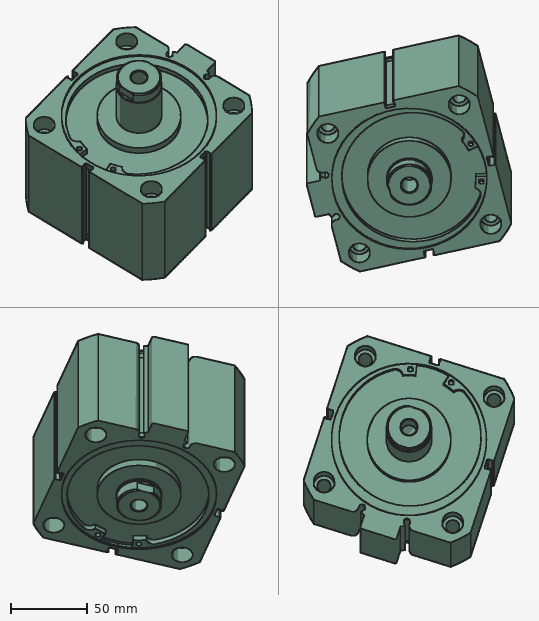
import cadquery as cq
import math

body_width = 115.0
body_height = 80.0
half_width = body_width / 2
mid_height = body_height / 2
corner_radius = 74.4

bore_radius = 50.8
groove_radius = 52.6
groove_depth = 1.4
ring_thickness = 4.0
cover_seat = groove_depth + ring_thickness

hole_offset = 44.3
hole_radius = 4.4
counterbore_radius = 6.9
counterbore_depth = 13.0

slot_depth = 4.5
slot_half_width = 3.2
lip_half_gap = 2.5
lip_chamfer_depth = 0.5
lip_depth = 0.9
slot_corner_chamfer = 0.5

rail_height = 9.0
rail_half_width = 12.5
rail_edge_radius = 1.0
barb_half_width = 15.2
barb_top = 0.3
barb_depth = 1.5
undercut_radius = 2.1
undercut_offset = 15.5
undercut_depth = 4.7
undercut_throat = 4.0
undercut_edge_radius = 3.9

ring_inner_radius = 46.5
ring_inner_shift = 2.3
ear_inner_radius = 43.7
ear_end_angle = 12.7
ear_back_angle = 23.7
ear_root_radius = 47.7
ear_root_angle = 26.9
ear_blend_angle = 30.0
ear_hole_radius = 1.7
ear_hole_distance = 47.3
ear_hole_angle = 17.3
ring_turn = -0.7

cover_thickness = 19.5
collar_radius = 27.4

rod_radius = 15.0
rod_reach_below = 10.0
rod_reach_above = 40.0
tip_radius = 14.7
tip_length = 8.3
tip_chamfer = 0.9
flat_half_distance = 13.5
flat_length = 6.9
tapped_radius = 5.2
tapped_depth = 19.5
tapped_chamfer = 0.5
drill_half_angle = math.radians(59)


def polar(radius, angle):
    """Point at a radius and at an angle in degrees, counted from -Y towards +X."""
    turn = math.radians(angle)
    return (radius * math.sin(turn), -radius * math.cos(turn))


def disc(radius, bottom, height):
    """Cylinder on the bore axis."""
    return cq.Workplane("XY").workplane(offset=bottom).circle(radius).extrude(height)


def flip(body):
    """Mirror image of a body about the middle of the body height."""
    return body.mirror("XY", (0, 0, mid_height))


def body_blank():
    """Square block whose corners follow one large circle."""
    square = cq.Workplane("XY").rect(body_width, body_width).extrude(body_height)
    return square.intersect(disc(corner_radius, 0, body_height))


def rail():
    """Plain bar that stands out from the back face."""
    return (
        cq.Workplane("XY")
        .center(0, half_width)
        .rect(2 * rail_half_width, 2 * rail_height)
        .extrude(body_height)
        .edges("|Z and >Y")
        .fillet(rail_edge_radius)
    )


def undercut():
    """Cutter for the groove on the +X side of the rail; Y is counted from the back face."""
    outer_wall = undercut_offset + undercut_radius
    throat_rise = undercut_depth - undercut_throat
    throat_x = undercut_offset - math.sqrt(undercut_radius**2 - throat_rise**2)
    round_edge = undercut_edge_radius * (1 - math.sqrt(0.5))
    return (
        cq.Workplane("XY")
        .center(0, half_width)
        .moveTo(rail_half_width, rail_height)
        .lineTo(rail_half_width, -barb_top)
        .lineTo(barb_half_width, -barb_depth)
        .lineTo(throat_x, -undercut_throat)
        .threePointArc((undercut_offset, -undercut_depth - undercut_radius), (outer_wall, -undercut_depth))
        .lineTo(outer_wall, -undercut_edge_radius)
        .threePointArc((outer_wall + round_edge, -round_edge), (outer_wall + undercut_edge_radius, 0))
        .lineTo(outer_wall + undercut_edge_radius, rail_height)
        .close()
        .extrude(body_height)
    )


def side_slot():
    """Cutter for the slot in the front face, narrowed by lips at its mouth and chamfered at its floor."""
    face = -half_width
    right_side = [
        (slot_half_width, face),
        (lip_half_gap, face + lip_chamfer_depth),
        (lip_half_gap, face + lip_depth),
        (slot_half_width, face + lip_depth),
        (slot_half_width, face + slot_depth - slot_corner_chamfer),
        (slot_half_width - slot_corner_chamfer, face + slot_depth),
    ]
    left_side = [(-x, y) for x, y in reversed(right_side)]
    return cq.Workplane("XY").polyline(right_side + left_side).close().extrude(body_height)


def corner_holes(radius, bottom, height):
    """Four cylinders at the corner mounting holes."""
    return (
        cq.Workplane("XY")
        .workplane(offset=bottom)
        .rect(2 * hole_offset, 2 * hole_offset, forConstruction=True)
        .vertices()
        .circle(radius)
        .extrude(height)
    )


def make_housing():
    """Cylinder body with bore, ring grooves, slots, mounting holes and rail."""
    housing = body_blank().union(rail())
    housing = housing.cut(undercut()).cut(undercut().mirror("YZ"))
    for angle in (-90, 0, 90):
        housing = housing.cut(side_slot().rotate((0, 0, 0), (0, 0, 1), angle))
    housing = housing.cut(disc(bore_radius, 0, body_height))
    ring_groove = disc(groove_radius, groove_depth, ring_thickness)
    housing = housing.cut(ring_groove).cut(flip(ring_groove))
    counterbores = corner_holes(counterbore_radius, 0, counterbore_depth)
    housing = housing.cut(corner_holes(hole_radius, 0, body_height))
    return housing.cut(counterbores).cut(flip(counterbores))


def make_lower_cover():
    """Round plate with a collar that ends level with the lower end face."""
    plate = disc(bore_radius, cover_seat, cover_thickness)
    collar = disc(collar_radius, 0, cover_seat)
    rod_hole = disc(rod_radius, 0, body_height)
    return plate.union(collar).cut(rod_hole)


def make_lower_ring():
    """Retaining ring with an eccentric opening and two drilled ears beside its gap."""
    blend_drop = ring_inner_shift * math.cos(math.radians(ear_blend_angle))
    blend_side = ring_inner_shift * math.sin(math.radians(ear_blend_angle))
    blend_radius = blend_drop + math.sqrt(ring_inner_radius**2 - blend_side**2)
    profile = (
        cq.Workplane("XY")
        .workplane(offset=groove_depth)
        .moveTo(*polar(groove_radius, ear_end_angle))
        .threePointArc((0, groove_radius), polar(groove_radius, -ear_end_angle))
        .lineTo(*polar(ear_inner_radius, -ear_end_angle))
        .threePointArc(
            polar(ear_inner_radius, -(ear_end_angle + ear_back_angle) / 2),
            polar(ear_inner_radius, -ear_back_angle),
        )
        .threePointArc(polar(ear_root_radius, -ear_root_angle), polar(blend_radius, -ear_blend_angle))
        .threePointArc((0, ring_inner_radius - ring_inner_shift), polar(blend_radius, ear_blend_angle))
        .threePointArc(polar(ear_root_radius, ear_root_angle), polar(ear_inner_radius, ear_back_angle))
        .threePointArc(
            polar(ear_inner_radius, (ear_end_angle + ear_back_angle) / 2),
            polar(ear_inner_radius, ear_end_angle),
        )
        .close()
    )
    ear_holes = (
        cq.Workplane("XY")
        .workplane(offset=groove_depth)
        .pushPoints([polar(ear_hole_distance, side * ear_hole_angle) for side in (-1, 1)])
        .circle(ear_hole_radius)
        .extrude(ring_thickness)
    )
    ring = profile.extrude(ring_thickness).cut(ear_holes)
    return ring.rotate((0, 0, 0), (0, 0, 1), ring_turn)


def rod_blank():
    """Turned rod with a slightly thinner, chamfered tip at each end."""
    bottom = -rod_reach_below
    top = body_height + rod_reach_above
    step = rod_radius - tip_radius
    lower_half = [
        (0, bottom),
        (tip_radius - tip_chamfer, bottom),
        (tip_radius, bottom + tip_chamfer),
        (tip_radius, bottom + tip_length),
        (rod_radius, bottom + tip_length + step),
    ]
    upper_half = [(r, top + bottom - z) for r, z in reversed(lower_half)]
    return cq.Workplane("XZ").polyline(lower_half + upper_half).close().revolve(360, (0, 0, 0), (0, 1, 0))


def wrench_flat():
    """Cutter for the +Y flat of a tip that starts at Z = 0, ending in a 45 degree slope."""
    clearance = rod_radius
    return (
        cq.Workplane("YZ")
        .moveTo(flat_half_distance, 0)
        .lineTo(flat_half_distance, flat_length)
        .lineTo(flat_half_distance + clearance, flat_length + clearance)
        .lineTo(flat_half_distance + clearance, 0)
        .close()
        .extrude(rod_radius, both=True)
    )


def tapped_hole():
    """Cutter for a blind hole that starts at Z = 0, with a chamfered mouth and a drill point."""
    point_depth = tapped_radius / math.tan(drill_half_angle)
    outline = [
        (0, 0),
        (tapped_radius + tapped_chamfer, 0),
        (tapped_radius, tapped_chamfer),
        (tapped_radius, tapped_depth),
        (0, tapped_depth + point_depth),
    ]
    return cq.Workplane("XZ").polyline(outline).close().revolve(360, (0, 0, 0), (0, 1, 0))


def make_rod():
    """Through rod with two wrench flats and a tapped hole at each end."""
    end_cut = wrench_flat().union(wrench_flat().mirror("XZ")).union(tapped_hole())
    lower_cut = end_cut.translate((0, 0, -rod_reach_below))
    upper_cut = end_cut.mirror("XY").translate((0, 0, body_height + rod_reach_above))
    return rod_blank().cut(lower_cut).cut(upper_cut)


housing = make_housing()
rod = make_rod()
lower_cover = make_lower_cover()
lower_ring = make_lower_ring()
covers = [lower_cover, flip(lower_cover)]
rings = [lower_ring, flip(lower_ring)]

result = cq.Compound.makeCompound([body.val() for body in [housing, rod, *covers, *rings]])